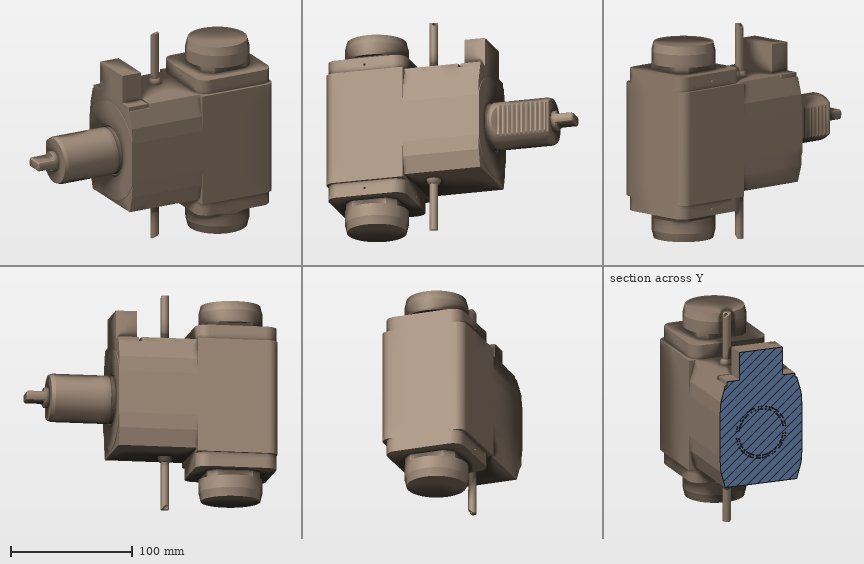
import cadquery as cq
import math


BODY_WIDTH = 74.0
BODY_HALF_HEIGHT = 47.5
BODY_BACK = 134.0
BODY_CORNER_RADIUS = 8.0
PLATE_SIDE = 68.0
PLATE_CORNER_RADIUS = 10.0
PLATE_HALF_HEIGHT = 59.5
HEAD_Y = BODY_BACK - PLATE_SIDE / 2
BODY_FRONT = BODY_BACK - PLATE_SIDE
DOWEL_HOLE_DIAMETER = 2.1
DOWEL_HOLE_DEPTH = 3.0

CAP_DIAMETER = 53.0
CAP_END_DIAMETER = 49.5
CAP_END_HEIGHT = 82.0
CAP_TAPER_START = 75.0
CAP_FLAT_TOP = 64.5
CAP_ACROSS_FLATS = 44.0

BLOCK_BOTTOM = -44.2
BLOCK_STRAIGHT_HALF_HEIGHT = 17.4
BLOCK_FACET_HALF_WIDTH = 36.2
BLOCK_FACET_HALF_HEIGHT = 30.0
BLOCK_BOTTOM_HALF_WIDTH = 32.1
BLOCK_TOP_HALF_WIDTH = 31.2
FLANGE_TOP = 44.0
FLANGE_BACK = 20.0
FLANGE_STEP = 0.5
FACE_DISC_DIAMETER = 83.5

KEY_BACK = 18.0
KEY_BASE_WIDTH = 61.5
KEY_WIDTH = 39.0
KEY_TOP = 71.5

SHANK_DIAMETER = 40.0
SHANK_END = -53.0
SHANK_CHAMFER_LENGTH = 3.1
SHANK_CHAMFER_DEPTH = 1.0
SEAL_RECESS_DIAMETER = 44.5
SEAL_RECESS_DEPTH = 2.0
SEAL_SECTION_RADIUS = 1.25
RELIEF_DIAMETER = 38.7
RELIEF_START = -1.2
RELIEF_END = -2.4
RELIEF_RAMP_END = -3.5

FLAT_X = -16.0
FLAT_RAMP_START = -5.0
TOOTH_PITCH = 4.0
TOOTH_COUNT = 10
FIRST_TOOTH_Y = -12.0
TOOTH_DEPTH = 1.5
FLAT_END_BEVEL_START = -50.5
FLAT_END_BEVEL_BEND = -51.5
FLAT_END_X = -13.8

TANG_DIAMETER = 17.0
TANG_THICKNESS = 8.0
TANG_END = -72.0
TANG_COLLAR_END = -57.0
TANG_FILLET = 2.0
TANG_COLLAR_CHAMFER = 0.6
TANG_END_CHAMFER = 1.0
TANG_EDGE_CHAMFER = 0.7

TUBE_X = -11.2
TUBE_Y = 47.15
TUBE_DIAMETER = 7.0
TUBE_TOP = 91.5
TUBE_BOTTOM = -88.5
BALL_DIAMETER = 12.0
BALL_HEIGHT = 4.5
NOZZLE_TILT = 45.0
NOZZLE_TURN = 25.0
NOZZLE_DIAMETER = 4.0
NOZZLE_DEPTH = 3.0


def box(x_min, x_max, y_min, y_max, z_min, z_max):
    """Axis-aligned box given by its limits."""
    size = (x_max - x_min, y_max - y_min, z_max - z_min)
    return cq.Workplane("XY").box(*size, centered=False).translate((x_min, y_min, z_min))


def rod(diameter, y_front, y_back):
    """Cylinder on the spindle axis between two Y positions."""
    return cq.Workplane("XZ", origin=(0, y_back, 0)).circle(diameter / 2).extrude(y_back - y_front)


def make_body():
    body = box(-BODY_WIDTH / 2, BODY_WIDTH / 2, BODY_FRONT, BODY_BACK, -BODY_HALF_HEIGHT, BODY_HALF_HEIGHT)
    return body.edges("|Z and >Y").fillet(BODY_CORNER_RADIUS)


def make_plates():
    plates = cq.Workplane("XY", origin=(0, HEAD_Y, 0)).rect(PLATE_SIDE, PLATE_SIDE)
    plates = plates.extrude(PLATE_HALF_HEIGHT, both=True)
    return plates.edges("|Z").fillet(PLATE_CORNER_RADIUS)


def make_dowel_holes():
    """Small blind holes in the middle of the -X and -Y plate faces."""
    hole_z = (BODY_HALF_HEIGHT + PLATE_HALF_HEIGHT) / 2
    radius = DOWEL_HOLE_DIAMETER / 2
    holes = cq.Workplane("XY")
    for z in (hole_z, -hole_z):
        side_start = cq.Vector(-PLATE_SIDE / 2, HEAD_Y, z)
        front_start = cq.Vector(0, BODY_FRONT, z)
        holes = holes.add(cq.Solid.makeCylinder(radius, DOWEL_HOLE_DEPTH, side_start, cq.Vector(1, 0, 0)))
        holes = holes.add(cq.Solid.makeCylinder(radius, DOWEL_HOLE_DEPTH, front_start, cq.Vector(0, 1, 0)))
    return holes.combine()


def make_top_cap():
    """Nut with a tapered end and four wrench flats next to the plate."""
    profile = [
        (0, 0),
        (CAP_DIAMETER / 2, 0),
        (CAP_DIAMETER / 2, CAP_TAPER_START),
        (CAP_END_DIAMETER / 2, CAP_END_HEIGHT),
        (0, CAP_END_HEIGHT),
    ]
    cap = cq.Workplane("XZ").polyline(profile).close().revolve(360, (0, 0, 0), (0, 1, 0))
    square = cq.Workplane("XY").rect(CAP_ACROSS_FLATS, CAP_ACROSS_FLATS).extrude(CAP_FLAT_TOP)
    above_flats = cq.Workplane("XY", origin=(0, 0, CAP_FLAT_TOP)).circle(CAP_DIAMETER)
    above_flats = above_flats.extrude(CAP_END_HEIGHT - CAP_FLAT_TOP)
    return cap.intersect(square.union(above_flats)).translate((0, HEAD_Y, 0))


def make_front_block():
    right_side = [
        (BLOCK_BOTTOM_HALF_WIDTH, BLOCK_BOTTOM),
        (BLOCK_FACET_HALF_WIDTH, -BLOCK_FACET_HALF_HEIGHT),
        (BODY_WIDTH / 2, -BLOCK_STRAIGHT_HALF_HEIGHT),
        (BODY_WIDTH / 2, BLOCK_STRAIGHT_HALF_HEIGHT),
        (BLOCK_FACET_HALF_WIDTH, BLOCK_FACET_HALF_HEIGHT),
        (BLOCK_TOP_HALF_WIDTH, BODY_HALF_HEIGHT),
    ]
    left_side = [(-x, z) for x, z in reversed(right_side)]
    outline = cq.Workplane("XZ", origin=(0, BODY_FRONT, 0)).polyline(right_side + left_side).close()
    block = outline.extrude(BODY_FRONT)
    notch = box(-BODY_WIDTH, BODY_WIDTH, 0, FLANGE_BACK, FLANGE_TOP, BODY_HALF_HEIGHT)
    block = block.cut(notch)
    outside_disc = box(-BODY_WIDTH, BODY_WIDTH, 0, FLANGE_STEP, BLOCK_BOTTOM, BODY_HALF_HEIGHT)
    return block.cut(outside_disc.cut(rod(FACE_DISC_DIAMETER, 0, FLANGE_STEP)))


def make_key():
    base = box(-KEY_BASE_WIDTH / 2, KEY_BASE_WIDTH / 2, FLANGE_STEP, KEY_BACK, FLANGE_TOP, BODY_HALF_HEIGHT)
    key = box(-KEY_WIDTH / 2, KEY_WIDTH / 2, FLANGE_STEP, KEY_BACK, FLANGE_TOP, KEY_TOP)
    return base.union(key)


def make_seal_recess():
    """Round recess in the flange face around the shank root."""
    return rod(SEAL_RECESS_DIAMETER, 0, SEAL_RECESS_DEPTH)


def make_seal_ring():
    """Round-section ring squeezed between the recess wall and the shank, flush with the flange face."""
    gap_middle = (SEAL_RECESS_DIAMETER + SHANK_DIAMETER) / 4
    section = cq.Workplane("XY").center(gap_middle, SEAL_SECTION_RADIUS).circle(SEAL_SECTION_RADIUS)
    return section.revolve(360, (-gap_middle, 0, 0), (-gap_middle, 1, 0))


def make_shank():
    radius = SHANK_DIAMETER / 2
    profile = [
        (0, SEAL_RECESS_DEPTH),
        (radius, SEAL_RECESS_DEPTH),
        (radius, 0),
        (RELIEF_DIAMETER / 2, RELIEF_START),
        (RELIEF_DIAMETER / 2, RELIEF_END),
        (radius, RELIEF_RAMP_END),
        (radius, SHANK_END + SHANK_CHAMFER_LENGTH),
        (radius - SHANK_CHAMFER_DEPTH, SHANK_END),
        (0, SHANK_END),
    ]
    shank = cq.Workplane("XY").polyline(profile).close().revolve(360, (0, 0, 0), (0, 1, 0))
    return shank.cut(make_serration())


def make_serration():
    """Flat with a 45 degree run-in and a bevelled end, plus the V grooves between the teeth."""
    outer_x = -SHANK_DIAMETER / 2
    run_in = FLAT_X - outer_x
    flat_outline = [
        (outer_x, FLAT_RAMP_START),
        (FLAT_X, FLAT_RAMP_START - run_in),
        (FLAT_X, FLAT_END_BEVEL_START),
        (FLAT_X + TOOTH_DEPTH, FLAT_END_BEVEL_BEND),
        (FLAT_END_X, SHANK_END),
        (outer_x, SHANK_END),
    ]
    cutter = cq.Workplane("XY").polyline(flat_outline).close().extrude(SHANK_DIAMETER, both=True)
    for index in range(TOOTH_COUNT):
        y = FIRST_TOOTH_Y - index * TOOTH_PITCH
        groove_outline = [(FLAT_X, y + TOOTH_DEPTH), (FLAT_X + TOOTH_DEPTH, y), (FLAT_X, y - TOOTH_DEPTH)]
        groove = cq.Workplane("XY").polyline(groove_outline).close().extrude(SHANK_DIAMETER, both=True)
        cutter = cutter.union(groove)
    return cutter


def make_tang():
    """Round collar that runs out into a two-flat drive tang."""
    half = TANG_THICKNESS / 2
    blade = rod(TANG_DIAMETER, TANG_END, SHANK_END)
    blade = blade.intersect(box(-TANG_DIAMETER, TANG_DIAMETER, TANG_END, SHANK_END, -half, half))
    blade = blade.edges("|Y").chamfer(TANG_EDGE_CHAMFER)
    blade = blade.faces("<Y").edges().chamfer(TANG_END_CHAMFER)
    collar = rod(TANG_DIAMETER, TANG_COLLAR_END, SHANK_END).faces("<Y").edges().chamfer(TANG_COLLAR_CHAMFER)
    tang = collar.union(blade)
    run_out_limit = rod(TANG_DIAMETER - 2 * TANG_COLLAR_CHAMFER, TANG_END, SHANK_END)
    for side in (1, -1):
        run_out = (
            cq.Workplane("YZ")
            .moveTo(TANG_COLLAR_END, side * half)
            .lineTo(TANG_COLLAR_END - TANG_FILLET, side * half)
            .radiusArc((TANG_COLLAR_END, side * (half + TANG_FILLET)), -side * TANG_FILLET)
            .close()
            .extrude(TANG_DIAMETER, both=True)
        )
        tang = tang.union(run_out.intersect(run_out_limit))
    return tang


def make_tube(end_z, seat_z, turn):
    """Coolant tube with a ball seat and an end bevelled toward the given direction about Z."""
    length = abs(end_z - seat_z)
    radius = TUBE_DIAMETER / 2
    tilt = math.radians(NOZZLE_TILT)
    tube = cq.Workplane("XY").circle(radius).extrude(length)
    ball = cq.Workplane("XY").sphere(BALL_DIAMETER / 2)
    ball = ball.intersect(cq.Workplane("XY").circle(BALL_DIAMETER).extrude(BALL_HEIGHT))
    bevel_drop = radius / math.tan(tilt)
    bevel = cq.Workplane("XZ").polyline([(0, length), (radius, length), (radius, length - bevel_drop)]).close()
    tube = tube.cut(bevel.extrude(TUBE_DIAMETER, both=True)).union(ball)
    start = cq.Vector(radius / 2, 0, length - bevel_drop / 2)
    inward = cq.Vector(-math.cos(tilt), 0, -math.sin(tilt))
    outside = start - inward * NOZZLE_DEPTH
    tube = tube.cut(cq.Workplane(cq.Solid.makeCylinder(NOZZLE_DIAMETER / 2, 2 * NOZZLE_DEPTH, outside, inward)))
    if end_z < seat_z:
        tube = tube.mirror("XY")
    tube = tube.rotate((0, 0, 0), (0, 0, 1), turn)
    return tube.translate((TUBE_X, TUBE_Y, seat_z))


top_cap = make_top_cap()
result = make_body().union(make_plates()).cut(make_dowel_holes())
result = result.union(top_cap).union(top_cap.mirror("XY"))
result = result.union(make_front_block()).union(make_key())
result = result.cut(make_seal_recess()).union(make_shank())
result = result.union(make_seal_ring()).union(make_tang())
result = result.union(make_tube(TUBE_TOP, BODY_HALF_HEIGHT, 180 + NOZZLE_TURN))
result = result.union(make_tube(TUBE_BOTTOM, BLOCK_BOTTOM, NOZZLE_TURN))